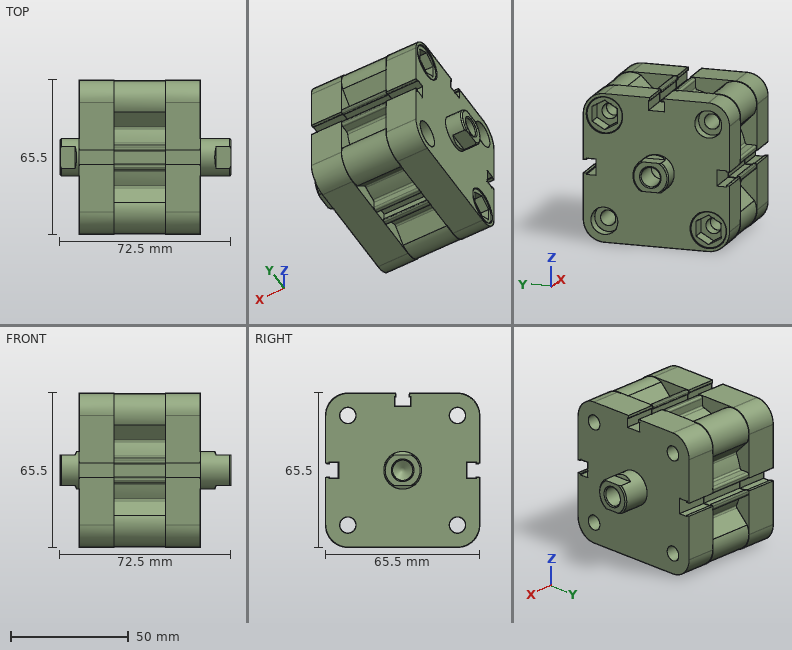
import cadquery as cq
import math


total_length = 72.5
left_stub = 8.0
cap_length = 14.75
barrel_length = 22.0
housing_length = 2 * cap_length + barrel_length
rod_start = -total_length / 2
housing_start = rod_start + left_stub
barrel_start = housing_start + cap_length
rear_cap_start = barrel_start + barrel_length

cap_size = 65.5
cap_half = cap_size / 2
hole_offset = 23.25
barrel_inset = 0.25
cap_corner_radius = cap_half - hole_offset
boss_radius = cap_corner_radius - barrel_inset
tube_radius = 28.0
boss_width = 17.5
boss_fillet = 1.0

rib_half_width = 5.3
rib_outer_fillet = 1.0
rib_root_fillet = 1.0
edge_tolerance = 1e-3

slot_neck_half = 3.0
slot_undercut_half = 3.55
slot_lip_depth = 1.4
slot_floor_depth = 5.65
slot_lip_rounding = 0.5
slot_overcut = 1.0

thread_hole_diameter = 6.8
recess_diameter = 12.0
recess_depth = 5.0
screw_diameter = 15.7
screw_gap = 0.3
screw_recess = 0.4
screw_bore_depth = 13.0
screw_length = screw_bore_depth - screw_recess
hex_across_corners = 13.0
hex_depth = 6.6
plain_corners = [(hole_offset, -hole_offset), (-hole_offset, hole_offset)]
screw_corners = [(hole_offset, hole_offset), (-hole_offset, -hole_offset)]
all_corners = plain_corners + screw_corners

rod_diameter = 16.0
rod_radius = rod_diameter / 2
rod_chamfer = 0.6
flat_across = 13.0
flat_length = 6.3
flat_runout = 0.65
rod_bore_diameter = 8.6
rod_bore_chamfer = 0.5
rod_bore_depth = 14.0
drill_point_angle = 118.0


def section_at(x):
    """Workplane across the axis at x, with local axes along Y and Z."""
    return cq.Workplane("YZ", origin=(x, 0, 0))


def around_axis(shape):
    """Four copies of a shape, one for each side or corner of the housing."""
    return [shape.rotate((0, 0, 0), (1, 0, 0), 90 * quarter) for quarter in range(4)]


def make_slot(x, length, inset, mouth_rounding):
    """T-slot cutter on the +Z side; mouth_rounding rounds the two lips."""
    neck = slot_neck_half - inset
    undercut = slot_undercut_half - inset
    surface = cap_half - inset
    lip = cap_half - slot_lip_depth - inset
    floor = cap_half - slot_floor_depth + inset
    mouth = neck + mouth_rounding
    outline = section_at(x).moveTo(-undercut, floor).lineTo(undercut, floor)
    outline = outline.lineTo(undercut, lip).lineTo(neck, lip)
    outline = outline.lineTo(neck, surface - mouth_rounding)
    if mouth_rounding > 0:
        arc_reach = mouth_rounding * (1 - math.sqrt(0.5))
        outline = outline.threePointArc((neck + arc_reach, surface - arc_reach), (mouth, surface))
    outline = outline.lineTo(mouth, surface + slot_overcut).lineTo(-mouth, surface + slot_overcut)
    outline = outline.lineTo(-mouth, surface)
    if mouth_rounding > 0:
        outline = outline.threePointArc(
            (-neck - arc_reach, surface - arc_reach), (-neck, surface - mouth_rounding)
        )
    return outline.lineTo(-neck, lip).lineTo(-undercut, lip).close().extrude(length)


def make_cap(x):
    """Square end cap with T-slots on every side except -Z."""
    cap = section_at(x).rect(cap_size, cap_size).extrude(cap_length)
    cap = cap.edges("|X").fillet(cap_corner_radius)
    slot = make_slot(x, cap_length, 0, 0)
    for angle in (-90, 0, 90):
        cap = cap.cut(slot.rotate((0, 0, 0), (1, 0, 0), angle))
    return cap


def make_corner_boss():
    """Corner boss: parallel flat flanks along the diagonal, with a round outer end."""
    hole_distance = hole_offset * math.sqrt(2)
    flank = boss_width / 2
    arc_start = hole_distance + math.sqrt(boss_radius**2 - flank**2)
    boss = (
        section_at(barrel_start)
        .moveTo(0, -flank)
        .lineTo(arc_start, -flank)
        .threePointArc((hole_distance + boss_radius, 0), (arc_start, flank))
        .lineTo(0, flank)
        .close()
        .extrude(barrel_length)
    )
    return boss.rotate((0, 0, 0), (1, 0, 0), 45)


def make_rib():
    """Rib on the +Z side that carries a T-slot."""
    height = cap_half - barrel_inset
    rib = (
        section_at(barrel_start)
        .center(0, height / 2)
        .rect(2 * rib_half_width, height)
        .extrude(barrel_length)
    )
    return rib.edges("|X and >Z").fillet(rib_outer_fillet)


def lies_on_tube(edge):
    center = edge.Center()
    return abs(math.hypot(center.y, center.z) - tube_radius) < edge_tolerance


def lies_at_rib_root(edge):
    center = edge.Center()
    nearest = min(abs(center.y), abs(center.z))
    return lies_on_tube(edge) and abs(nearest - rib_half_width) < edge_tolerance


def make_barrel():
    barrel = section_at(barrel_start).circle(tube_radius).extrude(barrel_length)
    for boss in around_axis(make_corner_boss()):
        barrel = barrel.union(boss)
    barrel = barrel.edges("|X").filter(lies_on_tube).fillet(boss_fillet)
    for rib in around_axis(make_rib()):
        barrel = barrel.union(rib)
    barrel = barrel.edges("|X").filter(lies_at_rib_root).fillet(rib_root_fillet)
    for slot in around_axis(make_slot(barrel_start, barrel_length, barrel_inset, slot_lip_rounding)):
        barrel = barrel.cut(slot)
    return barrel


def make_housing():
    """Barrel with both end caps, bored for the rod, the screws and the mounting threads."""
    housing = make_barrel()
    for cap_start in (housing_start, rear_cap_start):
        housing = housing.union(make_cap(cap_start))

    front_face = section_at(housing_start)
    rod_bore = front_face.circle(rod_radius).extrude(housing_length)
    corner_holes = (
        front_face.pushPoints(all_corners).circle(thread_hole_diameter / 2).extrude(housing_length)
    )
    recesses = front_face.pushPoints(plain_corners).circle(recess_diameter / 2).extrude(recess_depth)
    screw_bore_radius = screw_diameter / 2 + screw_gap
    screw_bores = front_face.pushPoints(screw_corners).circle(screw_bore_radius).extrude(screw_bore_depth)
    return housing.cut(rod_bore).cut(corner_holes).cut(recesses).cut(screw_bores)


def make_collar_screw(corner):
    """Hollow collar screw seated on the floor of its bore, with a hexagon socket."""
    base = section_at(housing_start + screw_recess).center(*corner)
    body = base.circle(screw_diameter / 2).circle(thread_hole_diameter / 2).extrude(screw_length)
    socket = base.transformed(rotate=(0, 0, 90)).polygon(6, hex_across_corners).extrude(hex_depth)
    return body.cut(socket)


def make_rod_end_cutter():
    """Everything removed at the -X end: threaded bore with drill point, and two wrench flats."""
    bore_radius = rod_bore_diameter / 2
    point_length = bore_radius / math.tan(math.radians(drill_point_angle / 2))
    bore_points = [
        (rod_start, 0),
        (rod_start, bore_radius + rod_bore_chamfer),
        (rod_start + rod_bore_chamfer, bore_radius),
        (rod_start + rod_bore_depth, bore_radius),
        (rod_start + rod_bore_depth + point_length, 0),
    ]
    bore = cq.Workplane("XY").polyline(bore_points).close().revolve(360, (0, 0, 0), (1, 0, 0))

    flat_half = flat_across / 2
    flat_points = [
        (rod_start, flat_half),
        (rod_start + flat_length, flat_half),
        (rod_start + flat_length + flat_runout, rod_radius),
        (rod_start, rod_radius),
    ]
    upper_flat = cq.Workplane("XZ").polyline(flat_points).close().extrude(rod_radius, both=True)
    return bore.union(upper_flat).union(upper_flat.mirror("XY"))


def make_rod():
    rod = section_at(rod_start).circle(rod_radius).extrude(total_length)
    rod = rod.faces("<X or >X").edges().chamfer(rod_chamfer)
    end_cutter = make_rod_end_cutter()
    return rod.cut(end_cutter).cut(end_cutter.mirror("YZ"))


housing = make_housing()
piston_rod = make_rod()
collar_screws = [make_collar_screw(corner) for corner in screw_corners]

result = cq.Compound.makeCompound(
    [housing.val(), piston_rod.val(), *[screw.val() for screw in collar_screws]]
)